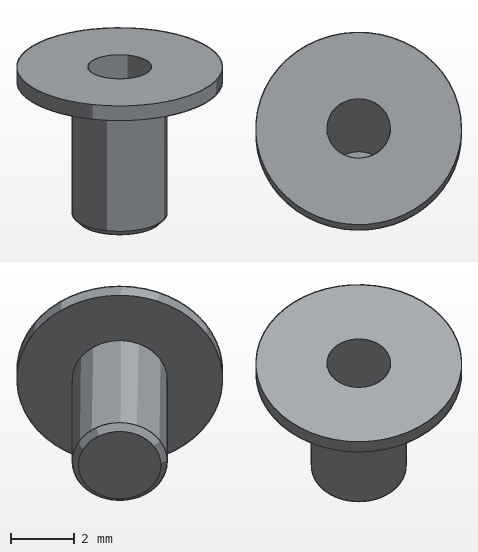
import cadquery as cq

flange_diameter = 6.5
flange_thickness = 0.5
shank_diameter = 3.0
total_height = 5.2
bore_diameter = 2.0
chamfer_size = 0.2

wall_thickness = (shank_diameter - bore_diameter) / 2
bore_depth = total_height - wall_thickness


def make_body():
    """Flanged shank with a 45 degree chamfer at the lower end, revolved about Z."""
    flange_radius = flange_diameter / 2
    shank_radius = shank_diameter / 2
    flange_underside = total_height - flange_thickness
    half_profile = (
        cq.Workplane("XZ")
        .lineTo(shank_radius - chamfer_size, 0)
        .lineTo(shank_radius, chamfer_size)
        .lineTo(shank_radius, flange_underside)
        .lineTo(flange_radius, flange_underside)
        .lineTo(flange_radius, total_height)
        .lineTo(0, total_height)
        .close()
    )
    return half_profile.revolve(360, (0, 0, 0), (0, 1, 0))


def cut_bore(body):
    """Blind, flat-bottomed bore from the flange face."""
    return body.faces(">Z").workplane().hole(bore_diameter, bore_depth)


result = cut_bore(make_body())